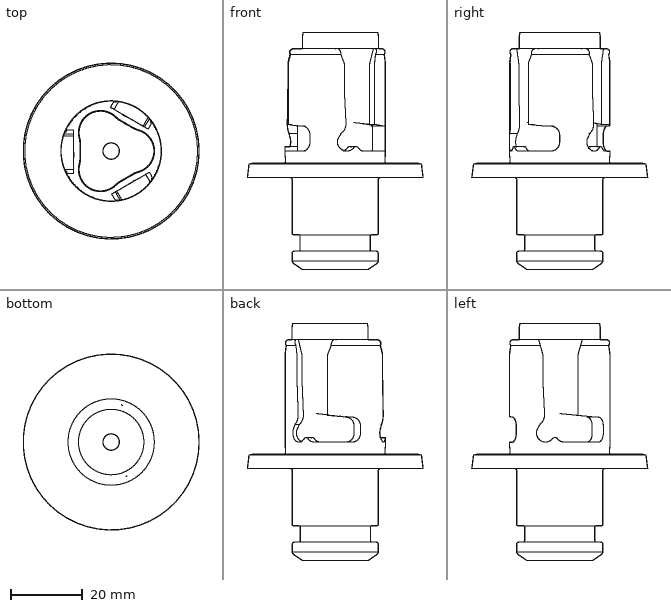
import cadquery as cq
import math

TOTAL_HEIGHT = 66.0
BORE_DIAMETER = 4.5
FOLD_COUNT = 3
BORE_MOUTH_RADIUS = 1.1

SHANK_RADIUS = 24.0 / 2
GROOVE_RADIUS = 19.6 / 2
FOOT_TIP_RADIUS = 9.1
FOOT_CONE_TOP_RADIUS = 11.4
FOOT_CONE_TOP = 1.6
FOOT_SIDE_BOTTOM = 2.4
FOOT_TOP = 5.2
FOOT_EDGE = 0.65
GROOVE_CORNER = 0.3
SHANK_BOTTOM = 9.7
SHANK_EDGE = 0.45
SHANK_CORNER = 0.5

FLANGE_BOTTOM = 25.6
FLANGE_TOP = 29.65
FLANGE_BOTTOM_RADIUS = 49.0 / 2
FLANGE_SIDE_TOP_RADIUS = 24.0
FLANGE_FACE_RADIUS = 46.0 / 2
FLANGE_BEVEL_HEIGHT = 0.25

NECK_RADIUS = 27.8 / 2
NECK_CORNER = 0.25
NECK_TOP = 31.2
BARREL_RADIUS = 28.0 / 2
BARREL_BOTTOM = 31.6
BARREL_SIDE_TOP = 57.6
BEAD_BOTTOM = 59.85
BARREL_TOP = 61.5
TAPER_TOP_RADIUS = 13.65
BEAD_RADIUS = 1.0
BEAD_CENTER_RADIUS = NECK_RADIUS - BEAD_RADIUS

LOBE_RADIUS = 6.15
LOBE_OFFSET = 5.95
HOLLOW_RADIUS = 6.6
FLAT_DISTANCE = 8.7
CAM_BEVEL_HEIGHT = 1.0
CAM_BEVEL_INSET = 0.2

SLOT_DEPTH_RADIUS = 10.4
SLOT_BOTTOM = 33.0
CHANNEL_TOP = 39.9
CHANNEL_ANGLE = 60.0
CHANNEL_CORNER = 2.5
CUT_REACH = BARREL_RADIUS + 2.0
RAMP_TOP = 40.9
RAMP_LENGTH = 9.9
MOUTH_LEFT = -5.9
MOUTH_RIGHT = 6.3
WALL_RIGHT = 5.1
THROAT_HEIGHT = 57.3
THROAT_LEFT = -4.7
THROAT_BOTTOM = 50.15
WAIST_LEFT = -4.2
WAIST_HEIGHT = 40.8
SHOULDER_MIDDLE = (-4.7, 38.9)
SHOULDER_END = (-5.55, 37.9)
POCKET_RADIUS = CHANNEL_CORNER
POCKET_CENTER = (-3.95, SLOT_BOTTOM + POCKET_RADIUS)
POCKET_START_ANGLE = 141.0
BUMP_FLANK_ANGLE = 44.0
POCKET_END_ANGLE = 360 - BUMP_FLANK_ANGLE
TOE_CENTER = (1.25, SLOT_BOTTOM + POCKET_RADIUS)
BUMP_CREST = ((POCKET_CENTER[0] + TOE_CENTER[0]) / 2, 34.25)


def polar(center, radius, degrees):
    angle = math.radians(degrees)
    return (center[0] + radius * math.cos(angle), center[1] + radius * math.sin(angle))


def rounded_corner(profile, corner_end, center, radius, middle_degrees):
    """Continue the profile with a round ending at corner_end."""
    return profile.threePointArc(polar(center, radius, middle_degrees), corner_end)


def turned_body():
    edge_center = (SHANK_RADIUS - FOOT_EDGE, FOOT_TOP - FOOT_EDGE)
    low_corner = (GROOVE_RADIUS + GROOVE_CORNER, FOOT_TOP + GROOVE_CORNER)
    high_corner = (GROOVE_RADIUS + GROOVE_CORNER, SHANK_BOTTOM - GROOVE_CORNER)
    shank_edge = (SHANK_RADIUS - SHANK_EDGE, SHANK_BOTTOM + SHANK_EDGE)
    shank_corner = (SHANK_RADIUS + SHANK_CORNER, FLANGE_BOTTOM - SHANK_CORNER)
    neck_corner = (NECK_RADIUS + NECK_CORNER, FLANGE_TOP + NECK_CORNER)
    bead_center = (BEAD_CENTER_RADIUS, BARREL_TOP - BEAD_RADIUS)
    bead_drop = bead_center[1] - BEAD_BOTTOM
    bead_foot_radius = BEAD_CENTER_RADIUS + math.sqrt(BEAD_RADIUS**2 - bead_drop**2)

    profile = cq.Workplane("XZ").lineTo(FOOT_TIP_RADIUS, 0)
    profile = profile.lineTo(FOOT_CONE_TOP_RADIUS, FOOT_CONE_TOP)
    profile = profile.tangentArcPoint((SHANK_RADIUS, FOOT_SIDE_BOTTOM), relative=False)
    profile = profile.lineTo(SHANK_RADIUS, edge_center[1])
    profile = rounded_corner(profile, (edge_center[0], FOOT_TOP), edge_center, FOOT_EDGE, 45)
    profile = profile.lineTo(low_corner[0], FOOT_TOP)
    profile = rounded_corner(profile, (GROOVE_RADIUS, low_corner[1]), low_corner, GROOVE_CORNER, 225)
    profile = profile.lineTo(GROOVE_RADIUS, high_corner[1])
    profile = rounded_corner(profile, (high_corner[0], SHANK_BOTTOM), high_corner, GROOVE_CORNER, 135)
    profile = profile.lineTo(shank_edge[0], SHANK_BOTTOM)
    profile = rounded_corner(profile, (SHANK_RADIUS, shank_edge[1]), shank_edge, SHANK_EDGE, -45)
    profile = profile.lineTo(SHANK_RADIUS, shank_corner[1])
    profile = rounded_corner(profile, (shank_corner[0], FLANGE_BOTTOM), shank_corner, SHANK_CORNER, 135)
    profile = profile.lineTo(FLANGE_BOTTOM_RADIUS, FLANGE_BOTTOM)
    profile = profile.lineTo(FLANGE_SIDE_TOP_RADIUS, FLANGE_TOP - FLANGE_BEVEL_HEIGHT)
    profile = profile.lineTo(FLANGE_FACE_RADIUS, FLANGE_TOP)
    profile = profile.lineTo(neck_corner[0], FLANGE_TOP)
    profile = rounded_corner(profile, (NECK_RADIUS, neck_corner[1]), neck_corner, NECK_CORNER, 225)
    profile = profile.lineTo(NECK_RADIUS, NECK_TOP)
    profile = profile.lineTo(BARREL_RADIUS, BARREL_BOTTOM)
    profile = profile.lineTo(BARREL_RADIUS, BARREL_SIDE_TOP)
    profile = profile.lineTo(TAPER_TOP_RADIUS, BEAD_BOTTOM)
    profile = profile.lineTo(bead_foot_radius, BEAD_BOTTOM)
    profile = rounded_corner(profile, (BEAD_CENTER_RADIUS, BARREL_TOP), bead_center, BEAD_RADIUS, 0)
    profile = profile.lineTo(0, BARREL_TOP).close()
    return profile.revolve(360, (0, 0, 0), (0, 1, 0))


def cam_outline(inset, height):
    """Closed three-lobed outline, shrunk by inset, at the given height."""
    lobe_radius = LOBE_RADIUS - inset
    hollow_radius = HOLLOW_RADIUS + inset
    lobe_step = 360 / FOLD_COUNT
    flat_angle = lobe_step / 2
    hollow_out = FLAT_DISTANCE + HOLLOW_RADIUS
    lobe_out = LOBE_OFFSET * math.cos(math.radians(flat_angle))
    lobe_across = LOBE_OFFSET * math.sin(math.radians(flat_angle))
    centers_gap = LOBE_RADIUS + HOLLOW_RADIUS
    hollow_across = lobe_across - math.sqrt(centers_gap**2 - (hollow_out - lobe_out) ** 2)
    lean = math.degrees(math.asin((lobe_across - hollow_across) / centers_gap))

    def hollow_point(normal_angle, side, swing):
        """Point on the hollow beside a flat; swing turns it from flat to lobe."""
        out = hollow_out - hollow_radius * math.cos(math.radians(swing))
        across = side * (hollow_across + hollow_radius * math.sin(math.radians(swing)))
        return (math.hypot(out, across), normal_angle + math.degrees(math.atan2(across, out)))

    def on_cam(point):
        return polar((0, 0), *point)

    outline = cq.Workplane("XY").workplane(offset=height)
    outline = outline.moveTo(*on_cam(hollow_point(-flat_angle, 1, lean)))
    for lobe in range(FOLD_COUNT):
        lobe_angle = lobe * lobe_step
        normal = lobe_angle + flat_angle
        tip = on_cam((LOBE_OFFSET + lobe_radius, lobe_angle))
        outline = outline.threePointArc(tip, on_cam(hollow_point(normal, -1, lean)))
        outline = outline.threePointArc(
            on_cam(hollow_point(normal, -1, lean / 2)), on_cam(hollow_point(normal, -1, 0))
        )
        outline = outline.lineTo(*on_cam(hollow_point(normal, 1, 0)))
        outline = outline.threePointArc(
            on_cam(hollow_point(normal, 1, lean / 2)), on_cam(hollow_point(normal, 1, lean))
        )
    return outline.close()


def cam():
    bevel_bottom = TOTAL_HEIGHT - CAM_BEVEL_HEIGHT
    base = cam_outline(0, BARREL_TOP).extrude(bevel_bottom - BARREL_TOP)
    lower_wire = cam_outline(0, bevel_bottom).wires().val()
    upper_wire = cam_outline(CAM_BEVEL_INSET, TOTAL_HEIGHT).wires().val()
    return base.union(cq.Workplane(cq.Solid.makeLoft([lower_wire, upper_wire], True)))


def bore():
    mouth_center = (BORE_DIAMETER / 2 + BORE_MOUTH_RADIUS, TOTAL_HEIGHT - BORE_MOUTH_RADIUS)
    profile = cq.Workplane("XZ").lineTo(BORE_DIAMETER / 2, 0)
    profile = profile.lineTo(BORE_DIAMETER / 2, mouth_center[1])
    profile = rounded_corner(profile, (mouth_center[0], TOTAL_HEIGHT), mouth_center, BORE_MOUTH_RADIUS, 135)
    profile = profile.lineTo(0, TOTAL_HEIGHT).close()
    return profile.revolve(360, (0, 0, 0), (0, 1, 0))


def ring_sector(bottom, top, angle):
    """Part of a ring outside the curved floor, from -X round toward -Y."""
    sector = cq.Workplane("XZ").moveTo(-SLOT_DEPTH_RADIUS, bottom)
    sector = sector.lineTo(-CUT_REACH, bottom).lineTo(-CUT_REACH, top)
    sector = sector.lineTo(-SLOT_DEPTH_RADIUS, top).close()
    return sector.revolve(angle, (0, 0, 0), (0, 1, 0))


def slot_plane():
    """Plane of the flat floor, facing -X with its own Y axis along Z."""
    return cq.Workplane(cq.Plane((-SLOT_DEPTH_RADIUS, 0, 0), (0, -1, 0), (-1, 0, 0)))


def toe_points():
    """Start, middle and end of the hollow that runs from the bump to the channel."""
    start_angle = 180 + BUMP_FLANK_ANGLE
    angles = (start_angle, (start_angle + 270) / 2, 270)
    return [polar(TOE_CENTER, POCKET_RADIUS, angle) for angle in angles]


def bump_toe():
    """Material below the toe hollow, which the channel must leave standing."""
    toe_start, toe_middle, toe_end = toe_points()
    outline = slot_plane().workplane(offset=-SLOT_DEPTH_RADIUS).moveTo(*toe_start)
    outline = outline.threePointArc(toe_middle, toe_end).lineTo(toe_start[0], SLOT_BOTTOM).close()
    return outline.extrude(CUT_REACH)


def entry_pocket():
    """Open-topped pocket with a flat floor and a round catch at its foot."""
    pocket_side = polar(POCKET_CENTER, POCKET_RADIUS, (POCKET_START_ANGLE + POCKET_END_ANGLE) / 2)
    outline = slot_plane().moveTo(MOUTH_RIGHT, BARREL_TOP).lineTo(MOUTH_LEFT, BARREL_TOP)
    outline = outline.lineTo(THROAT_LEFT, THROAT_HEIGHT)
    outline = outline.lineTo(THROAT_LEFT, THROAT_BOTTOM).lineTo(WAIST_LEFT, WAIST_HEIGHT)
    outline = outline.threePointArc(SHOULDER_MIDDLE, SHOULDER_END)
    outline = outline.lineTo(*polar(POCKET_CENTER, POCKET_RADIUS, POCKET_START_ANGLE))
    outline = outline.threePointArc(pocket_side, polar(POCKET_CENTER, POCKET_RADIUS, POCKET_END_ANGLE))
    toe_start, toe_middle, toe_end = toe_points()
    outline = outline.threePointArc(BUMP_CREST, toe_start)
    outline = outline.threePointArc(toe_middle, toe_end).lineTo(WALL_RIGHT, SLOT_BOTTOM)
    outline = outline.lineTo(WALL_RIGHT, THROAT_HEIGHT).close()
    return outline.extrude(CUT_REACH - SLOT_DEPTH_RADIUS)


def locking_channel():
    """Channel round the barrel from the pocket to a rounded blind end."""
    channel = ring_sector(SLOT_BOTTOM, CHANNEL_TOP, CHANNEL_ANGLE)
    turn = math.radians(CHANNEL_ANGLE)
    end_radial = cq.Vector(-math.cos(turn), -math.sin(turn), 0)
    end_normal = cq.Vector(math.sin(turn), -math.cos(turn), 0)
    corner_edges = [
        edge
        for edge in channel.edges().vals()
        if abs(edge.Center().dot(end_normal)) < 0.005
        and abs(edge.tangentAt(0.5).dot(end_radial)) > 0.99
    ]
    channel = channel.newObject(corner_edges).fillet(CHANNEL_CORNER)
    return channel.cut(bump_toe())


def ramp():
    """Sloping roof that leads from the pocket down into the channel."""
    outline = slot_plane().workplane(offset=-SLOT_DEPTH_RADIUS)
    outline = outline.moveTo(0, CHANNEL_TOP).lineTo(0, RAMP_TOP).lineTo(RAMP_LENGTH, CHANNEL_TOP).close()
    wedge = outline.extrude(CUT_REACH)
    return wedge.intersect(ring_sector(SLOT_BOTTOM, RAMP_TOP, CHANNEL_ANGLE))


def bayonet_slots():
    slot = entry_pocket().union(locking_channel()).union(ramp())
    slots = slot
    for turn in range(1, FOLD_COUNT):
        slots = slots.union(slot.rotate((0, 0, 0), (0, 0, 1), turn * 360 / FOLD_COUNT))
    return slots


result = turned_body().cut(bayonet_slots()).union(cam()).cut(bore())